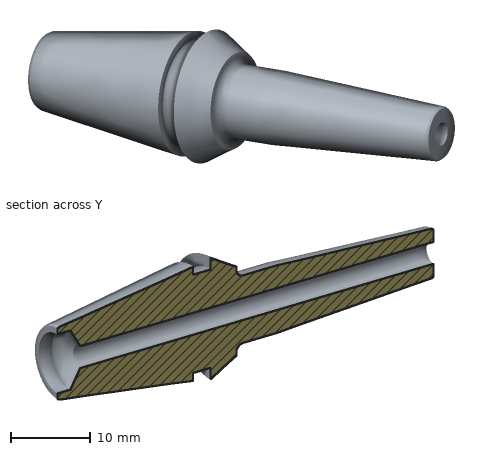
import cadquery as cq
import math

COLLET_END = 20.8
FLANGE_START = 23.4
FLANGE_END = 27.4
SHANK_TAPER_START = 33.6
LENGTH = 57.5

COLLET_BACK_RADIUS = 8.0
GROOVE_RADIUS = 6.9
FLANGE_RADIUS = 8.54
SHANK_RADIUS = 4.75
SHANK_TIP_RADIUS = 3.5

COLLET_ANGLE = 8.0
FLANGE_ANGLE = 30.0

FRONT_CHAMFER_LENGTH = 0.4
TIP_CHAMFER_LENGTH = 0.3
END_CHAMFER_DEPTH = 0.2
NECK_FILLET = 1.0

MOUTH_RADIUS = 4.1
MOUTH_DEPTH = 2.0
THROUGH_RADIUS = 1.5
DRILL_POINT_ANGLE = 120.0


def cone_drop(length, angle):
    """Change in radius of a cone over an axial length."""
    return length * math.tan(math.radians(angle))


def revolve_about_x(profile):
    return profile.close().revolve(360, (0, 0, 0), (1, 0, 0))


def make_body():
    """Front cone, groove, conical flange and tapered shank in one revolved profile."""
    front_rim_radius = COLLET_BACK_RADIUS - cone_drop(COLLET_END - FRONT_CHAMFER_LENGTH, COLLET_ANGLE)
    flange_back_radius = FLANGE_RADIUS - cone_drop(FLANGE_END - FLANGE_START, FLANGE_ANGLE)
    arc_inset = NECK_FILLET * (1 - math.sqrt(0.5))
    profile = (
        cq.Workplane("XY")
        .moveTo(0, 0)
        .lineTo(0, front_rim_radius - END_CHAMFER_DEPTH)
        .lineTo(FRONT_CHAMFER_LENGTH, front_rim_radius)
        .lineTo(COLLET_END, COLLET_BACK_RADIUS)
        .lineTo(COLLET_END, GROOVE_RADIUS)
        .lineTo(FLANGE_START, GROOVE_RADIUS)
        .lineTo(FLANGE_START, FLANGE_RADIUS)
        .lineTo(FLANGE_END, flange_back_radius)
        .lineTo(FLANGE_END, SHANK_RADIUS + NECK_FILLET)
        .threePointArc(
            (FLANGE_END + arc_inset, SHANK_RADIUS + arc_inset),
            (FLANGE_END + NECK_FILLET, SHANK_RADIUS),
        )
        .lineTo(SHANK_TAPER_START, SHANK_RADIUS)
        .lineTo(LENGTH - TIP_CHAMFER_LENGTH, SHANK_TIP_RADIUS)
        .lineTo(LENGTH, SHANK_TIP_RADIUS - END_CHAMFER_DEPTH)
        .lineTo(LENGTH, 0)
    )
    return revolve_about_x(profile)


def make_bore():
    """Cylindrical mouth, funnel and through hole as one revolved cutter."""
    half_angle = math.radians(DRILL_POINT_ANGLE / 2)
    funnel_end = MOUTH_DEPTH + (MOUTH_RADIUS - THROUGH_RADIUS) / math.tan(half_angle)
    profile = (
        cq.Workplane("XY")
        .moveTo(0, 0)
        .lineTo(0, MOUTH_RADIUS)
        .lineTo(MOUTH_DEPTH, MOUTH_RADIUS)
        .lineTo(funnel_end, THROUGH_RADIUS)
        .lineTo(LENGTH, THROUGH_RADIUS)
        .lineTo(LENGTH, 0)
    )
    return revolve_about_x(profile)


result = make_body().cut(make_bore())